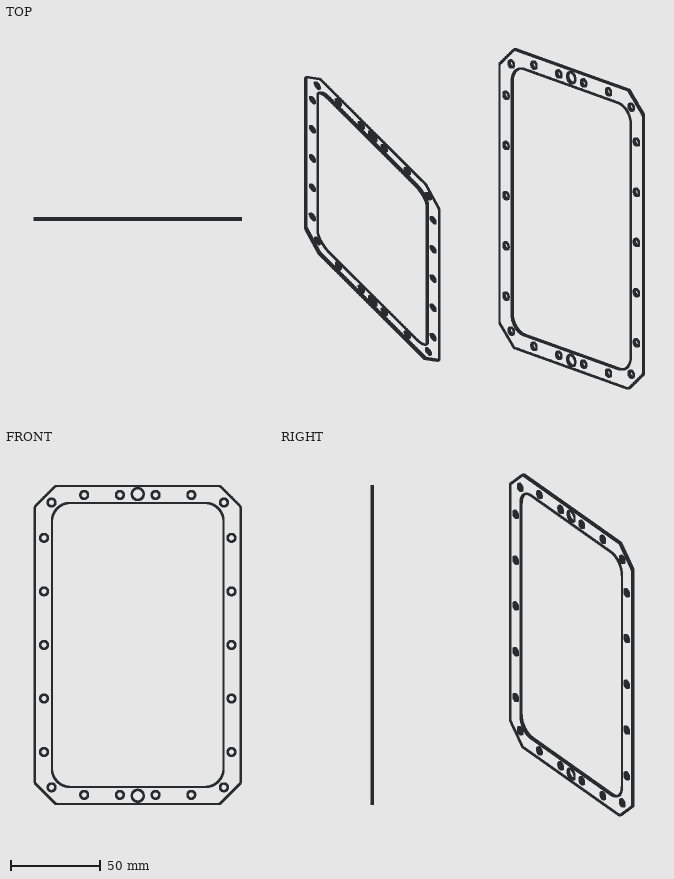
import cadquery as cq

width = 115.4
height = 178.3
thickness = 1.0
corner_chamfer = 11.7
chamfer_end_radius = 1.5

window_width = 96.0
window_height = 159.0
window_corner_radius = 10.15

bolt_diameter = 4.2
bolt_column_x = 52.5
bolt_row_z = 84.0
side_pitch = 30.0
side_holes_per_half = 2
end_hole_offsets = (10.0, 30.0)
corner_hole_x = 48.28
corner_hole_z = 79.76

dowel_diameter = 6.5
dowel_z = 84.5


def outer_plate():
    """Plate with its four corners chamfered and the chamfer ends rounded."""
    plate = cq.Workplane("XY").box(width, thickness, height)
    return plate.edges("|Y").chamfer(corner_chamfer).edges("|Y").fillet(chamfer_end_radius)


def window():
    """Rounded block that opens up the middle of the plate."""
    block = cq.Workplane("XY").box(window_width, thickness, window_height)
    return block.edges("|Y").fillet(window_corner_radius)


def drills(points, diameter):
    """Cylinders along Y that pass through the gasket at (x, z) points."""
    return (
        cq.Workplane("XZ")
        .pushPoints(points)
        .circle(diameter / 2)
        .extrude(thickness, both=True)
    )


def bolt_points():
    """Centres of every bolt hole around the rim."""
    points = []
    for side in (-1, 1):
        for row in range(-side_holes_per_half, side_holes_per_half + 1):
            points.append((side * bolt_column_x, row * side_pitch))
        for end in (-1, 1):
            points.append((side * corner_hole_x, end * corner_hole_z))
            for offset in end_hole_offsets:
                points.append((side * offset, end * bolt_row_z))
    return points


dowel_points = [(0, -dowel_z), (0, dowel_z)]

result = (
    outer_plate()
    .cut(window())
    .cut(drills(bolt_points(), bolt_diameter))
    .cut(drills(dowel_points, dowel_diameter))
)